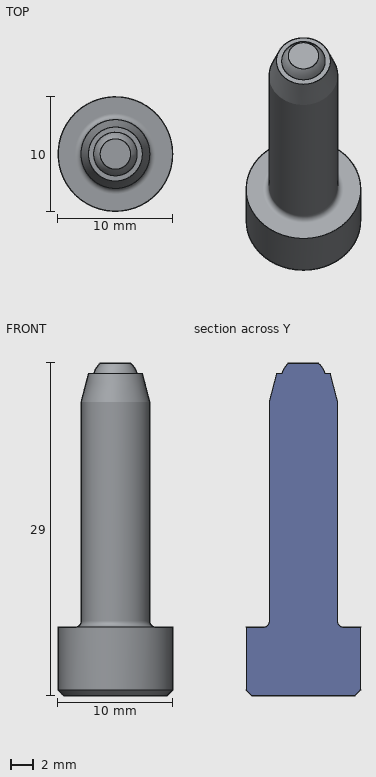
import cadquery as cq
import math

total_height = 29.0

head_diameter = 10.0
head_height = 6.0
head_chamfer = 0.5

shank_diameter = 6.0
shank_fillet = 0.5

cone_height = 2.5
cone_top_diameter = 4.7

tip_height = 0.9
tip_base_diameter = 3.8
tip_top_diameter = 2.65
tip_arc_radius = 1.8

head_radius = head_diameter / 2
shank_radius = shank_diameter / 2
cone_top_radius = cone_top_diameter / 2
tip_base_radius = tip_base_diameter / 2
tip_top_radius = tip_top_diameter / 2

tip_base_z = total_height - tip_height
cone_base_z = tip_base_z - cone_height
fillet_top_z = head_height + shank_fillet


def fillet_midpoint():
    """Point halfway along the concave quarter arc between head and shank."""
    diagonal = shank_fillet * math.sqrt(0.5)
    arc_centre_radius = shank_radius + shank_fillet
    return (arc_centre_radius - diagonal, fillet_top_z - diagonal)


def tip_midpoint():
    """Point halfway along the convex arc that forms the side of the tip."""
    inset = tip_base_radius - tip_top_radius
    chord = math.hypot(inset, tip_height)
    bulge = tip_arc_radius - math.sqrt(tip_arc_radius**2 - (chord / 2) ** 2)
    return (
        (tip_base_radius + tip_top_radius) / 2 + bulge * tip_height / chord,
        tip_base_z + tip_height / 2 + bulge * inset / chord,
    )


def pin_profile():
    """Half section of the pin, as (radius, height) from the bottom up."""
    return (
        cq.Workplane("XZ")
        .lineTo(head_radius - head_chamfer, 0)
        .lineTo(head_radius, head_chamfer)
        .lineTo(head_radius, head_height)
        .lineTo(shank_radius + shank_fillet, head_height)
        .threePointArc(fillet_midpoint(), (shank_radius, fillet_top_z))
        .lineTo(shank_radius, cone_base_z)
        .lineTo(cone_top_radius, tip_base_z)
        .lineTo(tip_base_radius, tip_base_z)
        .threePointArc(tip_midpoint(), (tip_top_radius, total_height))
        .lineTo(0, total_height)
        .close()
    )


result = pin_profile().revolve(360, (0, 0, 0), (0, 1, 0))